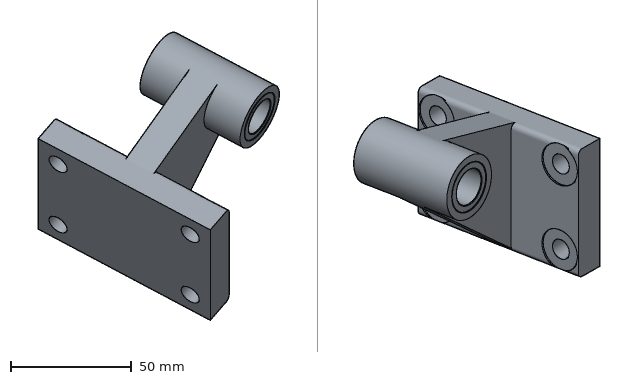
import cadquery as cq
import math

plate_width = 86.0
plate_height = 60.0
plate_thickness = 14.0
plate_edge_radius = 2.5

hole_diameter = 9.0
hole_spacing_x = 66.0
hole_spacing_z = 40.0
spotface_diameter = 19.0
spotface_depth = 0.8

boss_diameter = 29.0
boss_length = 50.0
boss_y = 63.0
boss_z = 27.0
bore_diameter = 16.0
bore_chamfer = 0.3

groove_inner_diameter = 22.0
groove_depth = 0.25

web_thickness = 14.0
web_inset = 0.1


def tangent_point(from_y, from_z, side):
    """Touching point on the inset boss circle of a line from (from_y, from_z); side +1 upper, -1 lower."""
    radius = boss_diameter / 2 - web_inset
    delta_y = from_y - boss_y
    delta_z = from_z - boss_z
    direction = math.atan2(delta_z, delta_y)
    half_angle = math.acos(radius / math.hypot(delta_y, delta_z))
    angle = direction - side * half_angle
    return boss_y + radius * math.cos(angle), boss_z + radius * math.sin(angle)


def make_plate():
    """Plate with the long upper and lower rear edges rounded."""
    plate = cq.Workplane("XY").box(
        plate_width, plate_thickness, plate_height, centered=(True, False, True)
    )
    return plate.faces(">Y").edges("|X").fillet(plate_edge_radius)


def make_web():
    """Web with flanks running from the plate, where its edge roundings begin, to the boss."""
    root_y = plate_thickness - plate_edge_radius
    root_z = plate_height / 2
    outline = [
        (root_y, -root_z),
        tangent_point(root_y, -root_z, -1),
        (boss_y, boss_z),
        tangent_point(root_y, root_z, 1),
        (root_y, root_z),
    ]
    return cq.Workplane("YZ").polyline(outline).close().extrude(web_thickness / 2, both=True)


def cut_mounting_holes(body):
    """Through holes at the four plate corners, each with a rear spotface."""
    for x_sign in (-1, 1):
        for z_sign in (-1, 1):
            center = (x_sign * hole_spacing_x / 2, z_sign * hole_spacing_z / 2)
            rear = cq.Workplane("XZ", origin=(0, plate_thickness, 0)).center(*center)
            body = body.cut(rear.circle(hole_diameter / 2).extrude(plate_thickness))
            body = body.cut(rear.circle(spotface_diameter / 2).extrude(spotface_depth))
    return body


def make_boss():
    """Solid boss, centred on the plate width."""
    profile = cq.Workplane("YZ").center(boss_y, boss_z).circle(boss_diameter / 2)
    return profile.extrude(boss_length / 2, both=True)


def revolve_about_boss(profile):
    """Solid of revolution about the boss axis from (x, radius) points."""
    sketch = cq.Workplane("XY", origin=(0, boss_y, boss_z)).polyline(profile).close()
    return sketch.revolve(360, (0, 0, 0), (1, 0, 0))


def cut_bore(body):
    """Through bore with chamfered mouths."""
    bore_radius = bore_diameter / 2
    mouth_radius = bore_radius + bore_chamfer
    half_length = boss_length / 2
    profile = [
        (-half_length, 0),
        (-half_length, mouth_radius),
        (-half_length + bore_chamfer, bore_radius),
        (half_length - bore_chamfer, bore_radius),
        (half_length, mouth_radius),
        (half_length, 0),
    ]
    return body.cut(revolve_about_boss(profile))


def cut_end_grooves(body):
    """Ring groove of triangular section in each end face of the boss."""
    groove_inner_radius = groove_inner_diameter / 2
    for x_sign in (-1, 1):
        face_x = x_sign * boss_length / 2
        bottom_x = face_x - x_sign * groove_depth
        profile = [
            (face_x, groove_inner_radius),
            (bottom_x, groove_inner_radius),
            (face_x, groove_inner_radius + groove_depth),
        ]
        body = body.cut(revolve_about_boss(profile))
    return body


result = make_plate().union(make_web()).union(make_boss())
result = cut_mounting_holes(result)
result = cut_bore(result)
result = cut_end_grooves(result)